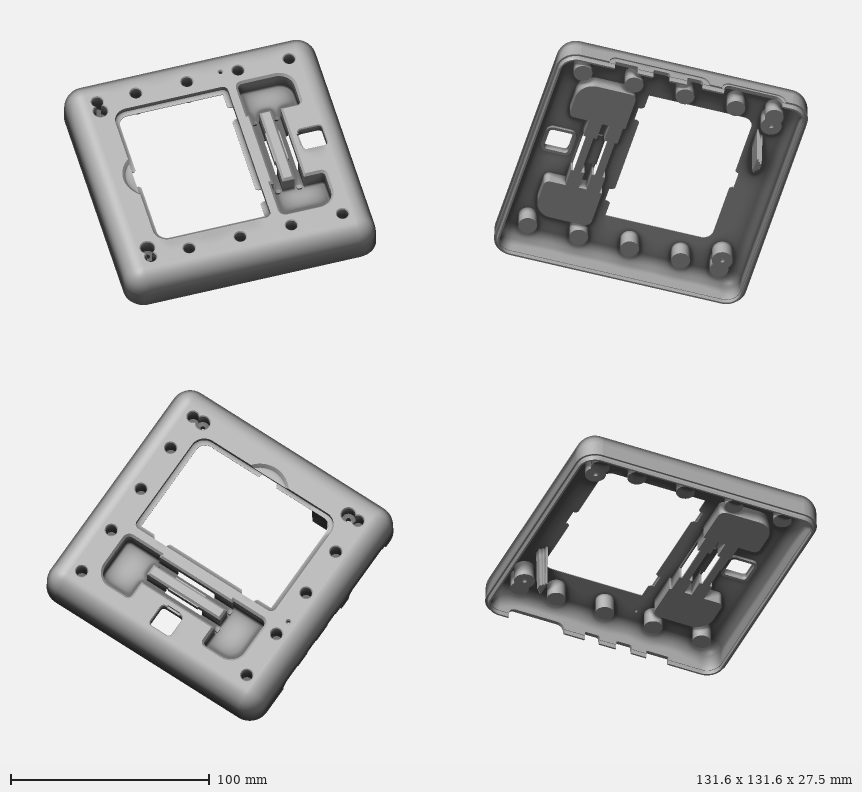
import cadquery as cq
import math

HALF = 65.8
TOP = 20.5
RIM_FILLET = 10.1
SIDE_DRAFT = math.radians(1.2)
LIP_HEIGHT = 2.4
LIP_INSET = 1.0
LIP_BEVEL = 0.5
LIP_BEVEL_HEIGHT = 1.2
WALL = 2.8
PLATE = 3.0
CAVITY_FILLET = 5.3
LIP_REBATE = 0.3

SPRING_Z = TOP - RIM_FILLET * (1 - math.sin(SIDE_DRAFT))
SPRING_HALF = HALF - (SPRING_Z - LIP_HEIGHT) * math.tan(SIDE_DRAFT)
CORNER = SPRING_HALF - RIM_FILLET * math.cos(SIDE_DRAFT)
CAVITY_HALF = HALF - WALL
CAVITY_CORNER = CAVITY_HALF - CORNER
CEILING = TOP - PLATE
EMBED_Z = TOP - PLATE / 2

HOLE_X = 50.2
HOLE_ROWS = (50.2, 23.4, -3.3, -30.0, -50.2)
HOLE_RADIUS = 2.9
HOLE_RIM = 0.5
HOLE_DEPTH = 10.5
BOSS_RADIUS = 4.7
BOSS_BOTTOM = 8.7

SCREW_X = 44.2
SCREW_Y = HOLE_ROWS[-1]
SCREW_RADIUS = 1.2
SCREW_HEAD_RADIUS = 3.5
SCREW_RIM = 0.5
SCREW_HEAD_DEPTH = 7.9
SCREW_BOSS_RADIUS = 5.3

PIN_X = -51.5
PIN_Y = 14.6
PIN_RADIUS = 0.8
PIN_RIM = 0.7

WINDOW_HALF_X = 42.3
WINDOW_NORTH = 15.3
WINDOW_SOUTH = -44.9
WINDOW_NORTH_RADIUS = 2.9
WINDOW_SOUTH_RADIUS = 7.4
RECESS_DEPTH = 2.6
OPENING_HALF_X = 39.5
OPENING_NORTH = 12.5
OPENING_SOUTH = -42.7
OPENING_NORTH_RADIUS = 0.1
OPENING_SOUTH_RADIUS = 5.3
TAB_X = 26.6
TAB_HALF = 3.8
CATCH_HALF = 4.6
GAP_FLARE = 1.0

SCOOP_Y = -36.1
SCOOP_RADIUS = 12.9
SCOOP_FLARE = 1.6
SCOOP_DEPTH = 1.6

PORT_SIZE = 12.5
PORT_Y = 48.5
PORT_RADIUS = 1.8
PORT_RIM = 0.5
PORT_DEPTH = 4.5
PORT_WALL = 1.6
PORT_NOTCH_LENGTH = 7.6
PORT_NOTCH_WIDTH = 1.0
PORT_NOTCH_DEPTH = 1.3

POCKET_INNER_X = 22.1
POCKET_OUTER_X = 42.1
POCKET_NORTH = 48.5
POCKET_SOUTH = 20.5
POCKET_BIG_RADIUS = 8.0
POCKET_INNER_RADIUS = 2.0
POCKET_SOUTH_RADIUS = 2.8
POCKET_DEPTH = 9.6
POCKET_RIM = 1.2
POCKET_FLOOR_FILLET = 1.0
TUB_WALL = 0.9
POCKET_FLOOR = TOP - POCKET_DEPTH
CHANNEL_NORTH = 37.8
CHANNEL_SOUTH = 21.7
BAR_NORTH = 32.9
BAR_SOUTH = 26.6
BAR_RIM = 1.0
BAR_WALL = 1.2
BAR_LIP = 0.5
BAR_LIP_HALF_X = 9.1
SLOT_HALF_X = 11.2
SLOT_FLOOR = 0.5
SLOT_TOP = TOP - 4.2
STOP_WIDTH = 2.6
STOP_LENGTH = 2.2
STOP_HEIGHT = 1.0
STOP_RADIUS = 0.8

NOTCH_DEPTH = 5.3
RELIEF_DEPTH = 0.8
NOTCHES = (
    (37.5, 25.5, 4.3, 0.1),
    (17.4, 8.8, 4.9, 1.0),
    (-0.3, -8.4, 4.9, 1.0),
    (-19.7, -50.3, 6.0, 3.7),
)
RELIEFS = (
    (40.5, -11.8, 7.0, 4.2),
    (-18.4, -51.9, 7.0, 4.5),
)

PEG_X = -29.5
PEG_BACK = -45.8
PEG_BOTTOM = -7.0
PEG_HALF_WIDTH = 4.7
PEG_SLAB_DEPTH = 1.0
PEG_STEP_HALF_WIDTH = 2.9
PEG_STEP_DEPTH = 2.1
PEG_RIB_HALF_WIDTH = 1.8
PEG_RIB_DEPTH = 3.7
PEG_DRAFT_RUN = 0.5

CUT_MARGIN = 1.3


def block(x0, x1, y0, y1, z0, z1):
    return cq.Workplane("XY").box(x1 - x0, y1 - y0, z1 - z0, centered=False).translate((x0, y0, z0))


def cylinder(x, y, radius, z0, z1):
    return cq.Workplane("XY", origin=(x, y, z0)).circle(radius).extrude(z1 - z0)


def rimmed_hole(x, y, radius, rim, z0):
    """Round hole from z0 to the top face, with a chamfered mouth."""
    straight = cylinder(x, y, radius, z0, TOP)
    flare = cq.Solid.makeCone(radius, radius + rim, rim, pnt=cq.Vector(x, y, TOP - rim))
    return straight.union(cq.Workplane(flare))


def rim_section():
    """Cross-section of one side, measured outwards from the axis of the corner rounding."""
    arc_mid = (math.pi / 2 + SIDE_DRAFT) / 2
    arc_point = (RIM_FILLET * math.cos(arc_mid), TOP - RIM_FILLET + RIM_FILLET * math.sin(arc_mid))
    side = HALF - CORNER
    return (
        cq.Workplane("XZ")
        .lineTo(side - LIP_INSET - LIP_BEVEL, 0)
        .lineTo(side - LIP_INSET, LIP_BEVEL_HEIGHT)
        .lineTo(side - LIP_INSET, LIP_HEIGHT)
        .lineTo(side, LIP_HEIGHT)
        .lineTo(SPRING_HALF - CORNER, SPRING_Z)
        .threePointArc(arc_point, (0, TOP))
        .close()
    )


def outer_body():
    body = block(-CORNER, CORNER, -CORNER, CORNER, 0, TOP)
    side = rim_section().extrude(CORNER, both=True).translate((CORNER, 0, 0))
    corner = rim_section().revolve(90, (0, 0), (0, 1)).translate((CORNER, CORNER, 0))
    for turn in (0, 90, 180, 270):
        for piece in (side, corner):
            body = body.union(piece.rotate((0, 0, 0), (0, 0, 1), turn))
    return body


def rounded_prism(half, radius, z0, z1):
    prism = block(-half, half, -half, half, z0, z1)
    return prism.edges("|Z").fillet(radius)


def cavity():
    """Hollow below the plate, slightly wider behind the lip."""
    hollow = rounded_prism(CAVITY_HALF, CAVITY_CORNER, -CUT_MARGIN, CEILING)
    hollow = hollow.faces(">Z").edges().fillet(CAVITY_FILLET)
    rebate = rounded_prism(CAVITY_HALF + LIP_REBATE, CAVITY_CORNER + LIP_REBATE, -CUT_MARGIN, LIP_HEIGHT)
    return hollow.union(rebate)


def pocket_outline(z, grow):
    """Outline of the +X pocket walls, grown evenly by the given amount."""
    x0 = POCKET_INNER_X - grow
    x1 = POCKET_OUTER_X + grow
    y0 = POCKET_SOUTH - grow
    y1 = POCKET_NORTH + grow
    big = POCKET_BIG_RADIUS + grow
    inner = POCKET_INNER_RADIUS + grow
    south = POCKET_SOUTH_RADIUS + grow
    return (
        cq.Workplane("XY", origin=(0, 0, z))
        .moveTo(x0, y0)
        .lineTo(x1 - south, y0)
        .radiusArc((x1, y0 + south), -south)
        .lineTo(x1, y1 - big)
        .radiusArc((x1 - big, y1), -big)
        .lineTo(x0 + inner, y1)
        .radiusArc((x0, y1 - inner), -inner)
        .close()
    )


def frustum(outline, z0, z1, grow0, grow1):
    """Solid lofted between two growths of the same outline."""
    lower = outline(z0, grow0).val()
    upper = outline(z1, grow1).val()
    return cq.Workplane(cq.Solid.makeLoft([lower, upper], True))


def both_sides(solid):
    return solid.union(solid.mirror("YZ"))


def pockets():
    rim_z = TOP - POCKET_RIM
    walls = pocket_outline(POCKET_FLOOR, 0).extrude(rim_z - POCKET_FLOOR)
    walls = walls.faces("<Z").edges().fillet(POCKET_FLOOR_FILLET)
    rim = frustum(pocket_outline, rim_z, TOP, 0, POCKET_RIM)
    return both_sides(walls.union(rim))


def channel(y0, y1):
    """Channel running in X between the pockets, with 45 degree rims."""
    section = [
        (y0, POCKET_FLOOR),
        (y1, POCKET_FLOOR),
        (y1, TOP - BAR_RIM),
        (y1 + BAR_RIM, TOP),
        (y0 - BAR_RIM, TOP),
        (y0, TOP - BAR_RIM),
    ]
    half_length = POCKET_INNER_X + POCKET_FLOOR_FILLET
    return cq.Workplane("YZ").polyline(section).close().extrude(half_length, both=True)


def tubs():
    """Material around the pockets and channels, hanging below the plate."""
    bottom = POCKET_FLOOR - TUB_WALL
    x = POCKET_INNER_X
    pocket_tub = both_sides(pocket_outline(bottom, TUB_WALL).extrude(EMBED_Z - bottom))
    channel_tub = block(-x, x, CHANNEL_SOUTH - TUB_WALL, CHANNEL_NORTH + TUB_WALL, bottom, EMBED_Z)
    return pocket_tub.union(channel_tub)


def slot(y0, y1):
    """Opening through a channel wall and the strip of floor along it."""
    return block(-SLOT_HALF_X, SLOT_HALF_X, y0, y1, 0, SLOT_TOP)


def bar_hollow():
    half_x = POCKET_INNER_X - BAR_WALL
    return block(-half_x, half_x, BAR_SOUTH + BAR_WALL, BAR_NORTH - BAR_WALL, 0, CEILING)


def bar_lips():
    """Short lips along both sides of the bar, above its slots."""
    x = BAR_LIP_HALF_X
    return block(-x, x, BAR_SOUTH - BAR_LIP, BAR_NORTH + BAR_LIP, SLOT_TOP, TOP - BAR_RIM)


def mouth_stops(y):
    """Low stops at both ends of the channel centred on y."""
    x = POCKET_INNER_X
    stop = cq.Workplane("XY", origin=(x, y, POCKET_FLOOR)).rect(STOP_LENGTH, STOP_WIDTH).extrude(STOP_HEIGHT)
    return both_sides(stop.edges("|Z").fillet(STOP_RADIUS))


def window_outline(half_x, north, south, north_radius, south_radius, z):
    return (
        cq.Workplane("XY", origin=(0, 0, z))
        .moveTo(-half_x + south_radius, south)
        .lineTo(half_x - south_radius, south)
        .radiusArc((half_x, south + south_radius), -south_radius)
        .lineTo(half_x, north - north_radius)
        .radiusArc((half_x - north_radius, north), -north_radius)
        .lineTo(-half_x + north_radius, north)
        .radiusArc((-half_x, north - north_radius), -north_radius)
        .lineTo(-half_x, south + south_radius)
        .radiusArc((-half_x + south_radius, south), -south_radius)
        .close()
    )


def ledge_gap(x, half, y_wall, y_mouth):
    """Gap through the ledge, from the recess wall to a flared mouth."""
    y_bend = (y_wall + y_mouth) / 2
    flared = half + GAP_FLARE
    points = [
        (x - half, y_wall),
        (x - half, y_bend),
        (x - flared, y_mouth),
        (x + flared, y_mouth),
        (x + half, y_bend),
        (x + half, y_wall),
    ]
    return cq.Workplane("XY").polyline(points).close().extrude(TOP)


def window():
    recess_z = TOP - RECESS_DEPTH
    recess = window_outline(
        WINDOW_HALF_X, WINDOW_NORTH, WINDOW_SOUTH, WINDOW_NORTH_RADIUS, WINDOW_SOUTH_RADIUS, recess_z
    ).extrude(RECESS_DEPTH)
    opening = window_outline(
        OPENING_HALF_X, OPENING_NORTH, OPENING_SOUTH, OPENING_NORTH_RADIUS, OPENING_SOUTH_RADIUS, 0
    ).extrude(TOP)
    cutter = recess.union(opening)
    for x in (-TAB_X, TAB_X):
        cutter = cutter.union(ledge_gap(x, TAB_HALF, WINDOW_NORTH, OPENING_NORTH))
    return cutter.union(ledge_gap(0, CATCH_HALF, WINDOW_SOUTH, OPENING_SOUTH))


def scoop():
    cone = cq.Solid.makeCone(
        SCOOP_RADIUS, SCOOP_RADIUS + SCOOP_FLARE, SCOOP_DEPTH, pnt=cq.Vector(0, SCOOP_Y, TOP - SCOOP_DEPTH)
    )
    keep = block(-HALF, HALF, -HALF, WINDOW_SOUTH, 0, TOP)
    return cq.Workplane(cone).intersect(keep)


def port_outline(z, grow):
    """Rounded square of the port, grown evenly beyond its clear size."""
    half = PORT_SIZE / 2 + grow
    radius = PORT_RADIUS + grow
    flat = half - radius
    outline = cq.Workplane("XY", origin=(0, PORT_Y, z)).moveTo(half, -flat)
    for turn in (0, 90, 180, 270):
        c = round(math.cos(math.radians(turn)))
        s = round(math.sin(math.radians(turn)))
        outline = outline.lineTo(c * half - s * flat, s * half + c * flat)
        outline = outline.radiusArc((c * flat - s * half, s * flat + c * half), -radius)
    return outline.close()


def port_notch():
    """Shallow step in the top edge of the port's south side."""
    edge = PORT_Y - PORT_SIZE / 2
    half_x = PORT_NOTCH_LENGTH / 2
    return block(-half_x, half_x, edge - PORT_NOTCH_WIDTH, edge, TOP - PORT_NOTCH_DEPTH, TOP)


def wall_cutout(north, south, height, radius, depth):
    """Opening in the -X wall, rounded at its two upper corners and open below."""
    opening = block(-HALF, -HALF + depth, south, north, -CUT_MARGIN, height)
    return opening.edges("|X and >Z").fillet(radius)


def peg_outline(z, shrink):
    """Stepped outline of the peg; the slab sides and the rib front carry the draft."""
    slab = PEG_HALF_WIDTH - shrink
    slab_y = PEG_BACK - PEG_SLAB_DEPTH
    step_y = PEG_BACK - PEG_STEP_DEPTH
    rib_y = PEG_BACK - PEG_RIB_DEPTH + shrink
    half = [
        (slab, PEG_BACK),
        (slab, slab_y),
        (PEG_STEP_HALF_WIDTH, slab_y),
        (PEG_STEP_HALF_WIDTH, step_y),
        (PEG_RIB_HALF_WIDTH, step_y),
        (PEG_RIB_HALF_WIDTH, rib_y),
    ]
    right = [(PEG_X + x, y) for x, y in half]
    left = [(PEG_X - x, y) for x, y in reversed(half)]
    return cq.Workplane("XY", origin=(0, 0, z)).polyline(right + left).close()


result = outer_body().cut(cavity())
result = result.union(tubs())
for x in (-HOLE_X, HOLE_X):
    for y in HOLE_ROWS:
        result = result.union(cylinder(x, y, BOSS_RADIUS, BOSS_BOTTOM, EMBED_Z))
for x in (-SCREW_X, SCREW_X):
    result = result.union(cylinder(x, SCREW_Y, SCREW_BOSS_RADIUS, BOSS_BOTTOM, EMBED_Z))
result = result.union(port_outline(TOP - PORT_DEPTH, PORT_WALL).extrude(EMBED_Z - (TOP - PORT_DEPTH)))
result = result.union(frustum(peg_outline, PEG_BOTTOM, EMBED_Z, PEG_DRAFT_RUN, 0))

result = result.cut(pockets())
result = result.cut(channel(BAR_NORTH, CHANNEL_NORTH))
result = result.cut(channel(CHANNEL_SOUTH, BAR_SOUTH))
result = result.cut(bar_hollow()).union(bar_lips())
for y in ((CHANNEL_NORTH + BAR_NORTH) / 2, (CHANNEL_SOUTH + BAR_SOUTH) / 2):
    result = result.union(mouth_stops(y))
result = result.cut(slot(CHANNEL_NORTH - SLOT_FLOOR, CHANNEL_NORTH + 2 * TUB_WALL))
result = result.cut(slot(BAR_SOUTH - SLOT_FLOOR, BAR_NORTH + SLOT_FLOOR))
result = result.cut(slot(CHANNEL_SOUTH - 2 * TUB_WALL, CHANNEL_SOUTH + SLOT_FLOOR))

result = result.cut(window()).cut(scoop())

result = result.cut(port_outline(0, 0).extrude(TOP))
result = result.cut(frustum(port_outline, TOP - PORT_RIM, TOP, 0, PORT_RIM))
result = result.cut(port_notch())

for x in (-HOLE_X, HOLE_X):
    for y in HOLE_ROWS:
        result = result.cut(rimmed_hole(x, y, HOLE_RADIUS, HOLE_RIM, TOP - HOLE_DEPTH))
for x in (-SCREW_X, SCREW_X):
    result = result.cut(rimmed_hole(x, SCREW_Y, SCREW_HEAD_RADIUS, SCREW_RIM, TOP - SCREW_HEAD_DEPTH))
    result = result.cut(cylinder(x, SCREW_Y, SCREW_RADIUS, 0, TOP))
result = result.cut(rimmed_hole(PIN_X, PIN_Y, PIN_RADIUS, PIN_RIM, 0))

for north, south, height, radius in RELIEFS:
    result = result.cut(wall_cutout(north, south, height, radius, RELIEF_DEPTH))
for north, south, height, radius in NOTCHES:
    result = result.cut(wall_cutout(north, south, height, radius, NOTCH_DEPTH))